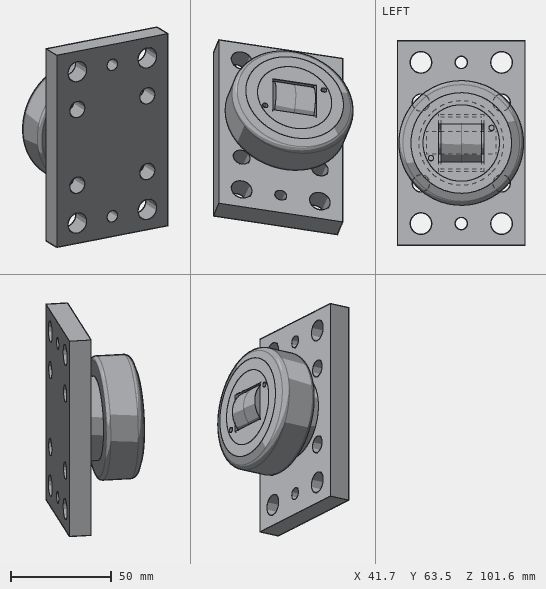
import cadquery as cq
import math


total_depth = 41.7
plate_thickness = 11.0
plate_width = 63.5
plate_height = 101.6
plate_front = total_depth - plate_thickness
hole_half_spacing_y = 20.0
bolt_hole_diameter = 10.6
bolt_hole_z = 40.0
tapped_hole_diameter = 8.5
tapped_hole_z = 20.0
dowel_hole_diameter = 6.0

ring_front = 2.4
ring_width = 20.0
ring_back = ring_front + ring_width
ring_radius = 31.0
ring_face_radius = 25.0
crown_angle = math.radians(20)
crown_arc_radius = 3.0
ring_back_fillet = 1.8

journal_radius = 19.0
neck_radius = 21.0
pin_hole_diameter = 2.6
pin_hole_depth = 3.0
pin_hole_y = 15.0
pin_hole_z = 7.5

roller_radius = 13.0
roller_length = 20.1
roller_axis_x = roller_radius
cavity_radius = 14.2
cavity_length = 22.4
axle_radius = 5.6
axle_length = 34.5


def cylinder_x(radius, start, end, y=0, z=0):
    """Cylinder parallel to X between two X positions."""
    return cq.Workplane("YZ", origin=(start, y, z)).circle(radius).extrude(end - start)


def cylinder_y(radius, length):
    """Cylinder on the side roller axis, centred on Y = 0."""
    return (
        cq.Workplane("XZ", origin=(roller_axis_x, 0, 0))
        .circle(radius)
        .extrude(length / 2, both=True)
    )


def make_plate():
    plate = (
        cq.Workplane("XY")
        .box(plate_thickness, plate_width, plate_height)
        .translate((plate_front + plate_thickness / 2, 0, 0))
    )
    for diameter, z in ((bolt_hole_diameter, bolt_hole_z), (tapped_hole_diameter, tapped_hole_z)):
        for side_y in (-1, 1):
            for side_z in (-1, 1):
                plate = plate.cut(
                    cylinder_x(
                        diameter / 2, plate_front, total_depth,
                        side_y * hole_half_spacing_y, side_z * z,
                    )
                )
    for z in (-bolt_hole_z, bolt_hole_z):
        plate = plate.cut(cylinder_x(dowel_hole_diameter / 2, plate_front, total_depth, 0, z))
    return plate


def make_outer_ring():
    """Ring revolved about X, with a conical shoulder blending into its rim by an arc."""
    arc_centre_radius = ring_radius - crown_arc_radius
    cone_end_radius = arc_centre_radius + crown_arc_radius * math.sin(crown_angle)
    cone_end_x = ring_front + (cone_end_radius - ring_face_radius) * math.tan(crown_angle)
    arc_centre_x = cone_end_x + crown_arc_radius * math.cos(crown_angle)
    mid_angle = (crown_angle + math.pi / 2) / 2
    arc_middle = (
        arc_centre_x - crown_arc_radius * math.cos(mid_angle),
        arc_centre_radius + crown_arc_radius * math.sin(mid_angle),
    )
    ring = (
        cq.Workplane("XY")
        .moveTo(ring_front, journal_radius)
        .lineTo(ring_front, ring_face_radius)
        .lineTo(cone_end_x, cone_end_radius)
        .threePointArc(arc_middle, (arc_centre_x, ring_radius))
        .lineTo(ring_back - ring_back_fillet, ring_radius)
        .radiusArc((ring_back, ring_radius - ring_back_fillet), ring_back_fillet)
        .lineTo(ring_back, journal_radius)
        .close()
        .revolve(360, (0, 0, 0), (1, 0, 0))
    )
    return ring


def make_hub():
    journal = cylinder_x(journal_radius, ring_front, ring_back)
    neck = cylinder_x(neck_radius, ring_back, plate_front)
    hub = journal.union(neck)
    hub = hub.cut(cylinder_y(cavity_radius, cavity_length))
    hub = hub.cut(cylinder_y(axle_radius, axle_length))
    for side in (-1, 1):
        hub = hub.cut(
            cylinder_x(
                pin_hole_diameter / 2, ring_front, ring_front + pin_hole_depth,
                -side * pin_hole_y, side * pin_hole_z,
            )
        )
    return hub


def make_side_roller():
    return cylinder_y(roller_radius, roller_length).cut(cylinder_y(axle_radius, roller_length))


def make_axle():
    return cylinder_y(axle_radius, axle_length)


plate = make_plate()
outer_ring = make_outer_ring()
hub = make_hub()
side_roller = make_side_roller()
axle = make_axle()

result = cq.Compound.makeCompound(
    [plate.val(), outer_ring.val(), hub.val(), side_roller.val(), axle.val()]
)